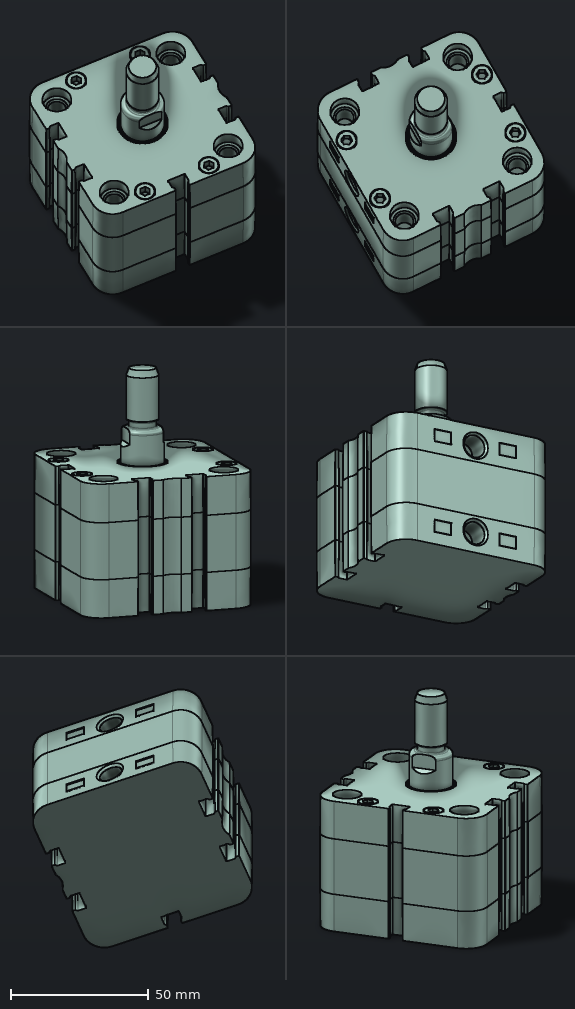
import cadquery as cq
import math


total_height = 85.0
body_height = 50.0
cover_height = 14.4
barrel_height = body_height - 2 * cover_height
body_width = 65.5
corner_radius = 8.25
cover_draft = 0.5

grooved_sides = (0, 2)
single_slot_side = 1
slot_offset = 10.4
slot_mouth_width = 5.3
slot_inner_width = 6.6
slot_depth = 5.3
slot_lip_depth = 1.45
slot_mouth_chamfer = 0.25

side_groove_radius = 6.0
side_groove_depth = 1.1

port_diameter = 8.6
port_mouth_diameter = 10.5
port_depth = 10.0
port_edge_distance = 8.0
air_duct_diameter = 3.5
air_duct_offset = 1.95
air_duct_depth = 3.4
label_length = 7.0
label_height = 4.8
label_depth = 0.5
label_offset = 13.6
label_edge_distance = 7.2

mounting_spacing = 46.5
counterbore_diameter = 10.5
counterbore_depth = 5.0
mounting_mouth_diameter = 8.0
mounting_diameter = 6.6

screw_spacing_x = 55.8
screw_spacing_y = 26.0
screw_recess_diameter = 7.5
screw_head_diameter = 7.0
screw_gap_depth = 1.0
hexagon_width = 3.5
hexagon_depth = 3.1

rod_recess_diameter = 16.6
rod_recess_depth = 0.5
seal_gap_outer_diameter = 18.5
seal_gap_inner_diameter = 17.7
seal_gap_depth = 1.0

rod_diameter = 16.0
shoulder_height = 63.15
shoulder_fillet = 1.8
thread_diameter = 12.0
thread_bottom = 66.0
tip_diameter = 10.0
tip_chamfer_height = 2.6
neck_diameter = 10.0
neck_top_fillet = 0.7
neck_bottom_fillet = 0.3
flats_width = 13.0
flats_bottom = 57.7

front_cover_bottom = cover_height + barrel_height


def side_point(side, along, depth):
    """Point on a side of the body: sides 0 to 3 are -Y, +X, +Y and -X, run counter-clockwise."""
    angle = math.radians(90 * side)
    out = depth - body_width / 2
    return (
        along * math.cos(angle) - out * math.sin(angle),
        along * math.sin(angle) + out * math.cos(angle),
    )


def draw_slot(outline, side, middle):
    """Continue the outline through one T-slot."""
    mouth = slot_mouth_width / 2
    inner = slot_inner_width / 2
    lip_bevel = inner - mouth
    half_profile = [
        (mouth + slot_mouth_chamfer, 0),
        (mouth, slot_mouth_chamfer),
        (mouth, slot_lip_depth),
        (inner, slot_lip_depth + lip_bevel),
        (inner, slot_depth),
    ]
    for offset, depth in half_profile:
        outline = outline.lineTo(*side_point(side, middle - offset, depth))
    for offset, depth in reversed(half_profile):
        outline = outline.lineTo(*side_point(side, middle + offset, depth))
    return outline


def draw_side_groove(outline, side):
    """Continue the outline through the shallow round groove in the middle of a side."""
    half_width = math.sqrt(side_groove_radius**2 - (side_groove_radius - side_groove_depth) ** 2)
    return outline.lineTo(*side_point(side, -half_width, 0)).threePointArc(
        side_point(side, 0, side_groove_depth), side_point(side, half_width, 0)
    )


def draw_corner(outline, side):
    """Continue the outline to the end of a side and round the corner to the next one."""
    straight_end = body_width / 2 - corner_radius
    arc_middle = straight_end + corner_radius * math.sqrt(0.5)
    return outline.lineTo(*side_point(side, straight_end, 0)).threePointArc(
        side_point(side, arc_middle, body_width / 2 - arc_middle),
        side_point(side + 1, -straight_end, 0),
    )


def body_outline(plane):
    """Outline shared by the barrel and both covers, closed and ready to extrude."""
    outline = cq.Workplane(plane).moveTo(*side_point(0, corner_radius - body_width / 2, 0))
    for side in range(4):
        if side in grooved_sides:
            outline = draw_slot(outline, side, -slot_offset)
            outline = draw_side_groove(outline, side)
            outline = draw_slot(outline, side, slot_offset)
        if side == single_slot_side:
            outline = draw_slot(outline, side, 0)
        outline = draw_corner(outline, side)
    return outline.close()


def level(height):
    """Horizontal plane at a height, facing up."""
    return cq.Plane(origin=(0, 0, height))


def hole_down(points, diameter, top, depth):
    """Equal round holes running down from a height."""
    return cq.Workplane(level(top - depth)).pushPoints(points).circle(diameter / 2).extrude(depth)


def ring_gap(points, outer_diameter, inner_diameter, depth):
    """Equal narrow ring-shaped gaps in the top face of the front cover."""
    gaps = cq.Workplane(level(body_height - depth)).pushPoints(points)
    return gaps.circle(outer_diameter / 2).circle(inner_diameter / 2).extrude(depth)


def rectangle_corners(length, width):
    """The four corners of a rectangle centred on the Z axis."""
    return [(x * length / 2, y * width / 2) for x in (-1, 1) for y in (-1, 1)]


def port(height):
    """Air port in the -X side: a blind bore with a chamfered mouth."""
    plane = cq.Plane(origin=(-body_width / 2, 0, height), xDir=(0, 1, 0), normal=(1, 0, 0))
    chamfer = (port_mouth_diameter - port_diameter) / 2
    bore = cq.Workplane(plane).circle(port_diameter / 2).extrude(port_depth)
    mouth = cq.Workplane(plane).circle(port_mouth_diameter / 2).extrude(chamfer, taper=45)
    return bore.union(mouth)


def air_duct(port_height):
    """Small duct that leads on from the floor of the front port, off its centre."""
    plane = cq.Plane(
        origin=(-body_width / 2, 0, port_height - air_duct_offset), xDir=(0, 1, 0), normal=(1, 0, 0)
    )
    return cq.Workplane(plane).circle(air_duct_diameter / 2).extrude(port_depth + air_duct_depth)


def labels(height):
    """Two shallow rectangular recesses in the -X side, either side of a port."""
    return (
        cq.Workplane("XY")
        .pushPoints([(-body_width / 2, -label_offset), (-body_width / 2, label_offset)])
        .box(2 * label_depth, label_length, label_height)
        .translate((0, 0, height))
    )


def mounting_holes():
    """Counterbored corner holes through the front cover, chamfered at the counterbore floor."""
    points = rectangle_corners(mounting_spacing, mounting_spacing)
    floor = body_height - counterbore_depth
    chamfer = (mounting_mouth_diameter - mounting_diameter) / 2
    counterbores = hole_down(points, counterbore_diameter, body_height, counterbore_depth)
    bores = hole_down(points, mounting_diameter, floor, floor - front_cover_bottom)
    mouth_plane = cq.Plane(origin=(0, 0, floor), xDir=(1, 0, 0), normal=(0, 0, -1))
    mouths = (
        cq.Workplane(mouth_plane)
        .pushPoints(points)
        .circle(mounting_mouth_diameter / 2)
        .extrude(chamfer, taper=45)
    )
    return counterbores.union(bores).union(mouths)


def screw_marks():
    """Ring gap and hexagon socket of each cover screw."""
    points = rectangle_corners(screw_spacing_x, screw_spacing_y)
    gaps = ring_gap(points, screw_recess_diameter, screw_head_diameter, screw_gap_depth)
    hexagon_diameter = hexagon_width / math.cos(math.radians(30))
    sockets = cq.Workplane("XY")
    for x, y in points:
        socket = cq.Workplane(level(body_height - hexagon_depth)).polygon(6, hexagon_diameter)
        socket = socket.extrude(hexagon_depth).rotate((0, 0, 0), (0, 0, 1), 30)
        sockets = sockets.add(socket.translate((x, y, 0)))
    return gaps.union(sockets.combine())


def rod_opening():
    """Bore that guides the rod, its wider mouth and the gap round the rod seal."""
    centre = [(0, 0)]
    bore = hole_down(centre, rod_diameter, body_height, cover_height)
    mouth = hole_down(centre, rod_recess_diameter, body_height, rod_recess_depth)
    gap = ring_gap(centre, seal_gap_outer_diameter, seal_gap_inner_diameter, seal_gap_depth)
    return bore.union(mouth).union(gap)


def make_rear_cover():
    cover = body_outline(cq.Plane(origin=(0, 0, cover_height), xDir=(1, 0, 0), normal=(0, 0, 1)))
    cover = cover.extrude(cover_height, taper=cover_draft).mirror("XY", (0, 0, cover_height))
    return cover.cut(port(port_edge_distance)).cut(labels(label_edge_distance))


def make_barrel():
    return body_outline(level(cover_height)).extrude(barrel_height)


def make_front_cover():
    cover = body_outline(level(front_cover_bottom)).extrude(cover_height, taper=cover_draft)
    port_height = body_height - port_edge_distance
    cover = cover.cut(port(port_height)).cut(air_duct(port_height))
    cover = cover.cut(labels(body_height - label_edge_distance))
    return cover.cut(mounting_holes()).cut(screw_marks()).cut(rod_opening())


def make_piston_rod():
    """Rod standing on the barrel, with wrench flats, a necked shoulder and a chamfered thread."""
    rod_radius = rod_diameter / 2
    neck_radius = neck_diameter / 2
    thread_radius = thread_diameter / 2
    diagonal = math.sqrt(0.5)
    rod = (
        cq.Workplane("XZ")
        .moveTo(0, front_cover_bottom)
        .lineTo(rod_radius, front_cover_bottom)
        .lineTo(rod_radius, shoulder_height - shoulder_fillet)
        .threePointArc(
            (
                rod_radius - shoulder_fillet * (1 - diagonal),
                shoulder_height - shoulder_fillet * (1 - diagonal),
            ),
            (rod_radius - shoulder_fillet, shoulder_height),
        )
        .lineTo(neck_radius + neck_bottom_fillet, shoulder_height)
        .threePointArc(
            (
                neck_radius + neck_bottom_fillet * (1 - diagonal),
                shoulder_height + neck_bottom_fillet * (1 - diagonal),
            ),
            (neck_radius, shoulder_height + neck_bottom_fillet),
        )
        .lineTo(neck_radius, thread_bottom - neck_top_fillet)
        .threePointArc(
            (
                neck_radius + neck_top_fillet * (1 - diagonal),
                thread_bottom - neck_top_fillet * (1 - diagonal),
            ),
            (neck_radius + neck_top_fillet, thread_bottom),
        )
        .lineTo(thread_radius, thread_bottom)
        .lineTo(thread_radius, total_height - tip_chamfer_height)
        .lineTo(tip_diameter / 2, total_height)
        .lineTo(0, total_height)
        .close()
        .revolve(360, (0, 0, 0), (0, 1, 0))
    )
    return rod.cut(wrench_flats())


def wrench_flats():
    """Two flats facing -X and +X, each ending below in a 45 degree slope."""
    slope = (rod_diameter - flats_width) / 2
    flat = (
        cq.Workplane("XZ")
        .moveTo(flats_width / 2, shoulder_height)
        .lineTo(flats_width / 2, flats_bottom)
        .lineTo(flats_width / 2 + slope, flats_bottom - slope)
        .lineTo(flats_width / 2 + slope, shoulder_height)
        .close()
        .extrude(rod_diameter / 2, both=True)
    )
    return flat.union(flat.mirror("YZ"))


rear_cover = make_rear_cover()
barrel = make_barrel()
front_cover = make_front_cover()
piston_rod = make_piston_rod()

result = cq.Compound.makeCompound([rear_cover.val(), barrel.val(), front_cover.val(), piston_rod.val()])